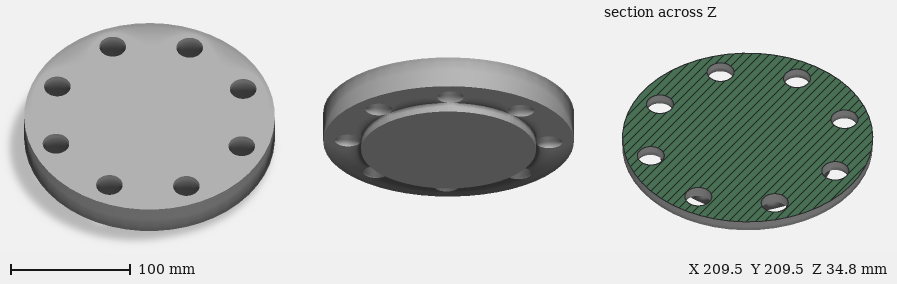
import cadquery as cq

flange_diameter = 209.5
overall_height = 34.8
raised_face_diameter = 146.0
raised_face_height = 8.0
bolt_circle_diameter = 168.0
bolt_hole_diameter = 22.2
bolt_hole_count = 8

disc_height = overall_height - raised_face_height

raised_face = cq.Workplane("XY").circle(raised_face_diameter / 2).extrude(raised_face_height)
disc = (
    cq.Workplane("XY")
    .workplane(offset=raised_face_height)
    .circle(flange_diameter / 2)
    .extrude(disc_height)
)

bolt_holes = (
    cq.Workplane("XY")
    .polarArray(bolt_circle_diameter / 2, 0, 360, bolt_hole_count)
    .circle(bolt_hole_diameter / 2)
    .extrude(overall_height)
)

result = disc.union(raised_face).cut(bolt_holes)